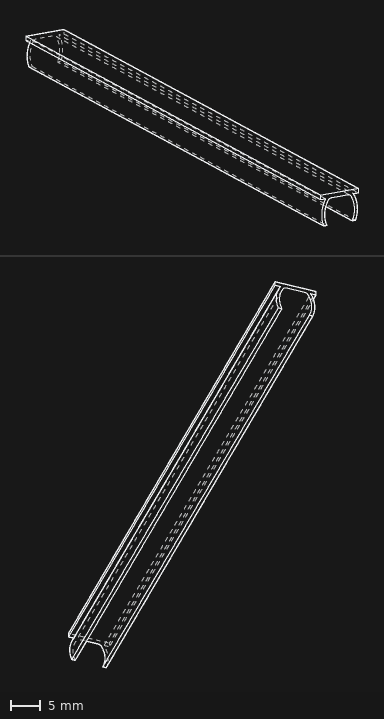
import cadquery as cq
import math

length = 100.0
plate_width = 7.4
plate_thickness = 0.8
height = 5.6

leg_thickness = 0.6
leg_outer_reach = 3.5
leg_outer_radius = 5.5
leg_inner_radius = leg_outer_radius - leg_thickness
bulge_z = 2.0
root_fillet = 0.7

plate_bottom = height - plate_thickness
arc_center_y = leg_outer_reach - leg_outer_radius


def arc_point(radius, z):
    """Point at height z on a leg arc of the given radius."""
    return arc_center_y + math.sqrt(radius**2 - (z - bulge_z) ** 2), z


def make_plate():
    plate_middle = height - plate_thickness / 2
    profile = cq.Workplane("YZ").center(0, plate_middle).rect(plate_width, plate_thickness)
    return profile.extrude(length)


def make_leg():
    """Leg on the +Y side, from its tip to the underside of the plate."""
    return (
        cq.Workplane("YZ")
        .moveTo(*arc_point(leg_outer_radius, 0))
        .threePointArc(arc_point(leg_outer_radius, bulge_z), arc_point(leg_outer_radius, plate_bottom))
        .lineTo(*arc_point(leg_inner_radius, plate_bottom))
        .threePointArc(arc_point(leg_inner_radius, bulge_z), arc_point(leg_inner_radius, 0))
        .close()
        .extrude(length)
    )


leg = make_leg()
strip = make_plate().union(leg).union(leg.mirror("XZ"))

root_y = arc_point(leg_inner_radius, plate_bottom)[0]
for side in (-1, 1):
    corner = cq.selectors.NearestToPointSelector((length / 2, side * root_y, plate_bottom))
    strip = strip.edges("|X").edges(corner).fillet(root_fillet)

result = strip